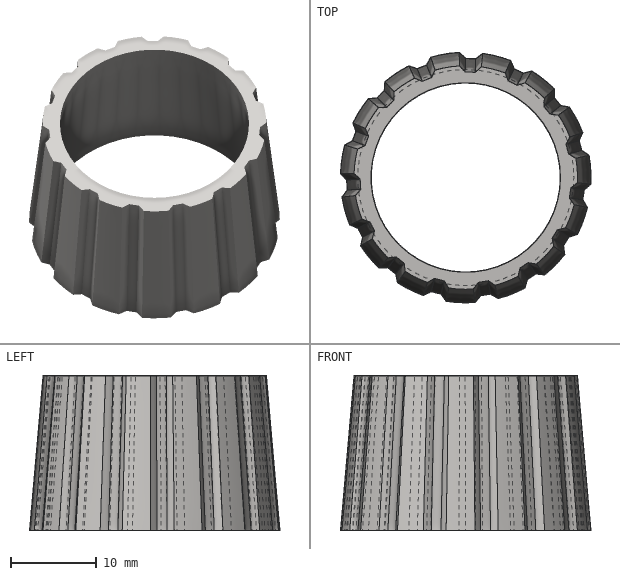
import cadquery as cq
import math

height = 18.15
bottom_radius = 14.67
taper_angle = 5.0
radius_drop = height * math.tan(math.radians(taper_angle))
top_radius = bottom_radius - radius_drop

bore_top_radius = 11.05
bore_bottom_radius = bore_top_radius + radius_drop

groove_count = 15
first_groove_angle = 87.6
groove_depth = 0.73
groove_floor_width = 1.17
groove_mouth_width_bottom = 2.75
groove_mouth_width_top = 2.58


def cone(lower_radius, upper_radius):
    """Solid frustum over the full height."""
    return cq.Workplane(cq.Solid.makeCone(lower_radius, upper_radius, height))


def groove_outline(outer_radius, mouth_width, z):
    """Closed trapezoid across the +X side, its walls extended past the rim."""
    half_floor = groove_floor_width / 2
    half_mouth = mouth_width / 2
    floor_x = outer_radius - groove_depth
    mouth_x = math.sqrt(outer_radius**2 - half_mouth**2)
    wall_run = mouth_x - floor_x
    wall_spread = half_mouth - half_floor
    points = [
        (floor_x, -half_floor, z),
        (mouth_x + wall_run, -half_mouth - wall_spread, z),
        (mouth_x + wall_run, half_mouth + wall_spread, z),
        (floor_x, half_floor, z),
    ]
    return cq.Wire.makePolygon([cq.Vector(*point) for point in points], close=True)


def groove_cutter():
    """Ruled solid joining the bottom and top groove outlines."""
    lower = groove_outline(bottom_radius, groove_mouth_width_bottom, 0)
    upper = groove_outline(top_radius, groove_mouth_width_top, height)
    return cq.Workplane(cq.Solid.makeLoft([lower, upper], True))


result = cone(bottom_radius, top_radius).cut(cone(bore_bottom_radius, bore_top_radius))

cutter = groove_cutter()
for index in range(groove_count):
    angle = first_groove_angle + index * 360 / groove_count
    result = result.cut(cutter.rotate((0, 0, 0), (0, 0, 1), angle))